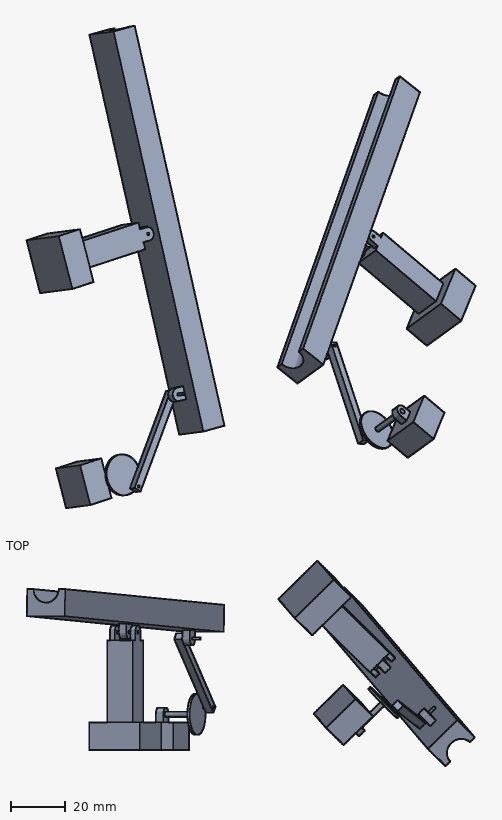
import cadquery as cq
import math

ASSEMBLY_TURN = -22.8
PANEL_TILT = -2.2

LUG_WIDTH = 5.0
LUG_THICKNESS = 3.0
PIN_OFFSET = 3.0
PIN_DIAMETER = 1.0

MOUNT_SIDE = 20.0
MOUNT_DEPTH = 10.1
COLUMN_SIDE = 10.1
COLUMN_LENGTH = 30.0
EAR_THICKNESS = 2.0
COLUMN_TOP = MOUNT_DEPTH + COLUMN_LENGTH
HINGE_Y = COLUMN_TOP + PIN_OFFSET

PANEL_WIDTH = 15.0
PANEL_LENGTH = 150.0
PANEL_THICKNESS = 10.0
GROOVE_RADIUS = 5.0
LINK_LUG_DROP = 60.0
PANEL_FACE = HINGE_Y + PIN_OFFSET
PANEL_BACK = PANEL_FACE + PANEL_THICKNESS

MOTOR_SIDE = 15.0
MOTOR_DEPTH = 10.1
MOTOR_X = -20.0
MOTOR_Z = -82.5
SHAFT_DIAMETER = 2.0
SHAFT_Y = MOTOR_DEPTH + PIN_OFFSET

LINK_SIDE = 3.0
LINK_OVERHANG = 1.3
LINK_X = -3.5
LINK_PIN_END = 4.6
LINK_START = LINK_X - LINK_SIDE / 2
LINK_END = LINK_X + LINK_SIDE / 2
DISC_DIAMETER = 15.0
DISC_THICKNESS = 1.0
DISC_X = -6.5
CRANK_RADIUS = 6.0
CRANK_ANGLE = 65.0

tilt = math.radians(PANEL_TILT)
link_pin_y = HINGE_Y + LINK_LUG_DROP * math.sin(tilt)
link_pin_z = -LINK_LUG_DROP * math.cos(tilt)
crank_y = SHAFT_Y + CRANK_RADIUS * math.cos(math.radians(CRANK_ANGLE))
crank_z = MOTOR_Z - CRANK_RADIUS * math.sin(math.radians(CRANK_ANGLE))


def box(x_size, y_size, z_size, x, y_start, z):
    """Box centred on x and z, growing in +Y from y_start."""
    return cq.Workplane("XY").box(x_size, y_size, z_size).translate((x, y_start + y_size / 2, z))


def rod(diameter, x_start, x_end, y, z):
    """Cylinder along X."""
    return (
        cq.Workplane("YZ", origin=(x_start, y, z))
        .circle(diameter / 2)
        .extrude(x_end - x_start)
    )


def lug(thickness, x, pin_y, z, face_y):
    """Round-ended lug standing on face_y, centred on x, without its pin hole."""
    round_end = rod(LUG_WIDTH, x - thickness / 2, x + thickness / 2, pin_y, z)
    root = box(thickness, abs(pin_y - face_y), LUG_WIDTH, x, min(pin_y, face_y), z)
    return root.union(round_end)


def tilt_panel(body):
    """Lean the panel about the main hinge pin, its top away from the mounts."""
    return body.rotate((0, HINGE_Y, 0), (1, HINGE_Y, 0), PANEL_TILT)


def make_mount():
    body = box(MOUNT_SIDE, MOUNT_DEPTH, MOUNT_SIDE, 0, 0, 0)
    body = body.union(box(COLUMN_SIDE, COLUMN_LENGTH, COLUMN_SIDE, 0, MOUNT_DEPTH, 0))
    ear_x = (COLUMN_SIDE - EAR_THICKNESS) / 2
    for side in (-1, 1):
        body = body.union(lug(EAR_THICKNESS, side * ear_x, HINGE_Y, 0, COLUMN_TOP))
    return body.cut(rod(PIN_DIAMETER, -COLUMN_SIDE / 2, COLUMN_SIDE / 2, HINGE_Y, 0))


def make_panel():
    body = box(PANEL_WIDTH, PANEL_THICKNESS, PANEL_LENGTH, 0, PANEL_FACE, 0)
    groove = (
        cq.Workplane("XY", origin=(0, PANEL_BACK, -PANEL_LENGTH / 2))
        .circle(GROOVE_RADIUS)
        .extrude(PANEL_LENGTH)
    )
    body = body.cut(groove)
    for lug_z in (0, -LINK_LUG_DROP):
        body = body.union(lug(LUG_THICKNESS, 0, HINGE_Y, lug_z, PANEL_FACE))
    body = body.union(rod(PIN_DIAMETER, -COLUMN_SIDE / 2, COLUMN_SIDE / 2, HINGE_Y, 0))
    body = body.union(rod(PIN_DIAMETER, LINK_START, LINK_PIN_END, HINGE_Y, -LINK_LUG_DROP))
    return tilt_panel(body)


def make_motor_block():
    body = box(MOTOR_SIDE, MOTOR_DEPTH, MOTOR_SIDE, MOTOR_X, 0, MOTOR_Z)
    body = body.union(lug(LUG_THICKNESS, MOTOR_X, SHAFT_Y, MOTOR_Z, MOTOR_DEPTH))
    half = LUG_THICKNESS / 2
    return body.cut(rod(SHAFT_DIAMETER, MOTOR_X - half, MOTOR_X + half, SHAFT_Y, MOTOR_Z))


def make_crank():
    disc_start = DISC_X - DISC_THICKNESS / 2
    disc_end = DISC_X + DISC_THICKNESS / 2
    body = rod(DISC_DIAMETER, disc_start, disc_end, SHAFT_Y, MOTOR_Z)
    shaft_start = MOTOR_X - LUG_THICKNESS / 2
    body = body.union(rod(SHAFT_DIAMETER, shaft_start, disc_end, SHAFT_Y, MOTOR_Z))
    return body.union(rod(PIN_DIAMETER, disc_start, LINK_END, crank_y, crank_z))


def make_link():
    rise_y = link_pin_y - crank_y
    rise_z = link_pin_z - crank_z
    length = math.hypot(rise_y, rise_z) + 2 * LINK_OVERHANG
    lean = math.degrees(math.atan2(rise_y, rise_z))
    body = (
        cq.Workplane("XY")
        .box(LINK_SIDE, LINK_SIDE, length)
        .rotate((0, 0, 0), (1, 0, 0), -lean)
        .translate((LINK_X, (link_pin_y + crank_y) / 2, (link_pin_z + crank_z) / 2))
    )
    for pin_y, pin_z in ((link_pin_y, link_pin_z), (crank_y, crank_z)):
        body = body.cut(rod(PIN_DIAMETER, LINK_START, LINK_END, pin_y, pin_z))
    return body


def place(body):
    """Turn an upright body into the final pose; the mounts' backs face -Y."""
    return body.rotate((0, 0, 0), (0, 1, 0), ASSEMBLY_TURN)


mount = place(make_mount())
panel = place(make_panel())
motor_block = place(make_motor_block())
crank = place(make_crank())
link = place(make_link())

result = cq.Compound.makeCompound(
    [mount.val(), panel.val(), motor_block.val(), crank.val(), link.val()]
)